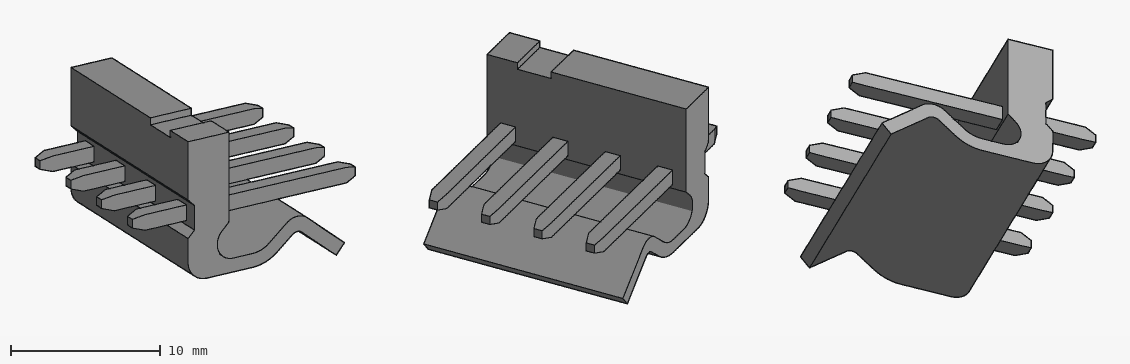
import cadquery as cq
import math


housing_width = 15.08
housing_height = 10.2
wall_thickness = 3.21
heel_radius = 1.47

pin_count = 4
pin_pitch = 3.96
pin_width = 1.13
pin_height = 4.59
pin_front = -3.58
pin_length = 17.45
tip_length = 0.84
tip_width = 0.63

groove_depth = 0.5
groove_floor_half = 0.89
groove_mouth_half = groove_floor_half + groove_depth

relief_radius = 1.25
relief_top = 3.72

arm_thickness = 1.01
arm_slope = math.radians(40)
arm_bend = 5.78
ridge_y = 8.55
arm_end = 12.25
bend_inner_radius = 2.0
bend_outer_radius = bend_inner_radius + arm_thickness
ridge_outer_radius = 1.27
ridge_inner_radius = 0.6

notch_width = 2.55
notch_depth = 0.5
notch_x = pin_pitch * (pin_count / 2 - 1)


def rounded_profile(corners):
    """Closed YZ wire through (y, z, radius) corners, with a tangent arc wherever radius > 0."""
    edges = []
    first_point = None
    last_point = None
    for index, (y, z, radius) in enumerate(corners):
        corner = cq.Vector(0, y, z)
        before = cq.Vector(0, *corners[index - 1][:2])
        after = cq.Vector(0, *corners[(index + 1) % len(corners)][:2])
        to_before = (before - corner).normalized()
        to_after = (after - corner).normalized()
        half_angle = to_before.getAngle(to_after) / 2
        setback = radius / math.tan(half_angle)
        start = corner + to_before * setback
        end = corner + to_after * setback

        if last_point is None:
            first_point = start
        else:
            edges.append(cq.Edge.makeLine(last_point, start))
        if radius > 0:
            bisector = (to_before + to_after).normalized()
            apex_distance = radius / math.sin(half_angle) - radius
            edges.append(cq.Edge.makeThreePointArc(start, corner + bisector * apex_distance, end))
        last_point = end
    edges.append(cq.Edge.makeLine(last_point, first_point))
    return cq.Wire.assembleEdges(edges)


def make_housing():
    """Wall, groove, relief hollow and locking arm as one profile extruded along X."""
    rise = math.tan(arm_slope)
    ridge_top = arm_thickness + (ridge_y - arm_bend) * rise
    ridge_underside = ridge_top - arm_thickness / math.cos(arm_slope)
    underside_bend = ridge_y - ridge_underside / rise
    arm_end_z = ridge_top - (arm_end - ridge_y) * rise
    relief_corner = wall_thickness - (relief_top - arm_thickness)

    corners = [
        (0, 0, heel_radius),
        (0, pin_height - groove_mouth_half, 0),
        (groove_depth, pin_height - groove_floor_half, 0),
        (groove_depth, pin_height + groove_floor_half, 0),
        (0, pin_height + groove_mouth_half, 0),
        (0, housing_height, 0),
        (wall_thickness, housing_height, 0),
        (wall_thickness, relief_top, 0),
        (relief_corner, arm_thickness, relief_radius),
        (arm_bend, arm_thickness, bend_inner_radius),
        (ridge_y, ridge_top, ridge_outer_radius),
        (arm_end, arm_end_z, 0),
        (
            arm_end - arm_thickness * math.sin(arm_slope),
            arm_end_z - arm_thickness * math.cos(arm_slope),
            0,
        ),
        (ridge_y, ridge_underside, ridge_inner_radius),
        (underside_bend, 0, bend_outer_radius),
    ]
    profile = rounded_profile(corners)
    solid = cq.Solid.extrudeLinear(profile, [], cq.Vector(housing_width, 0, 0))
    return cq.Workplane(solid).translate((-housing_width / 2, 0, 0))


def make_notch():
    """Cutter for the notch, oversized so that it opens through the top and both wall faces."""
    return (
        cq.Workplane("XY", origin=(notch_x, 0, housing_height - notch_depth))
        .rect(notch_width, 3 * wall_thickness)
        .extrude(2 * notch_depth)
    )


def make_pin():
    """Square pin along +Y at X = 0, tapered at both ends."""
    half_length = pin_length / 2
    half = (
        cq.Workplane("XZ")
        .rect(pin_width, pin_width)
        .extrude(half_length - tip_length)
        .faces("<Y")
        .workplane()
        .rect(pin_width, pin_width)
        .workplane(offset=tip_length)
        .rect(tip_width, tip_width)
        .loft(ruled=True)
    )
    pin = half.union(half.mirror("XZ"))
    return pin.translate((0, pin_front + half_length, pin_height))


result = make_housing().cut(make_notch())
pin = make_pin()
for number in range(pin_count):
    pin_x = (number - (pin_count - 1) / 2) * pin_pitch
    result = result.union(pin.translate((pin_x, 0, 0)))